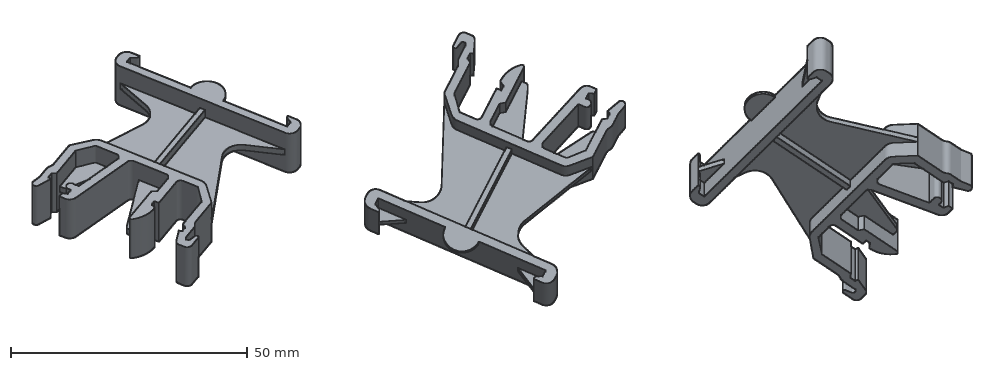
import cadquery as cq
import math


length = 46.6
width = 44.3
height = 11.5
wall = 2.0
web_thickness = 1.65
inner_fillet = 1.0

tab_radius = 3.95
tab_thickness = 0.8
bar_top = length - tab_radius
bar_thickness = 1.9
bar_bottom = bar_top - bar_thickness
hook_top = 45.55
hook_outer_x = width / 2
hook_corner_radius = 2.0
hook_inner_x = 19.6
hook_tip_x = 18.15
hook_tip_depth = 0.6
hook_lip_depth = 1.4
hook_lip_radius = 0.7
gusset_x = 13.05

bridge_top = 19.2
bridge_bottom = bridge_top - wall
leg_outer_x = 17.45
leg_inner_x = leg_outer_x - wall
shoulder_y = 14.55
shoulder_x = 13.2
inner_shoulder_y = 13.8
inner_shoulder_x = 12.55
shoulder_radius = 2.4
inner_shoulder_radius = shoulder_radius - wall

waist_x = 8.0
waist_y = 36.1
waist_radius = 4.1
web_bar_x = 20.2
rib_width = 1.25
rib_height = 6.0

jog_x = 18.05
jog_top = 7.4
jog_bottom = 6.5
jog_radius = 1.8
notch_x = 16.35
notch_mouth_top = 5.82
notch_top = 5.2
notch_bottom = 3.9
barb_x = 15.65
barb_y = 3.7

left_tip_x = 18.75
left_tip_y = 0.15
left_tip_inner_x = 17.1
left_tip_radius = 0.85
left_flare_y = 3.15

right_toe_x = 20.35
right_toe_top = 4.25
right_toe_radius = 1.25
right_heel_x = 17.05
right_heel_radius = 1.0
groove_top_x = 19.53
groove_bottom_x = 19.05
groove_bottom = 2.15
groove_radius = 0.45
toe_end_radius = 0.33

lean_slope = math.tan(math.radians(14.8))
lean_left_root = -6.15
lean_right_root = -4.0
lean_bead_x = -11.85
lean_bead_top = 4.8
lean_bead_bottom = 2.95
lean_bead_radius = 0.9
lean_notch_x = -10.3
lean_notch_bottom = 1.65
lean_toe_x = -11.4
lean_toe_top = 1.15
lean_heel_radius = 1.85

finger_left = 5.75
finger_right = 7.85
finger_step_x = 4.65
finger_step_top = 11.85
finger_step_bottom = 11.05
finger_notch_x = 6.7
finger_notch_top = 8.85
finger_notch_bottom = 7.75
finger_barb_y = 7.15
finger_belly_y = 4.1
finger_belly_radius = 7.0
finger_tip_radius = 0.45

leg_web_bottom = 7.1
leg_web_corner_x = -13.95
leg_web_top_x = -8.25
leg_web_radius = 1.0
finger_web_bottom = 3.1
finger_web_corner_x = 3.1
finger_web_top_x = -1.95
finger_web_radius = 0.85


def point_towards(start, end, distance):
    """Point on the line from start to end, at the given distance from start."""
    span = math.dist(start, end)
    return tuple(a + (b - a) * distance / span for a, b in zip(start, end))


def rounded_plate(corners, thickness):
    """Plate centred on Z = 0; a corner (x, y, r) is rounded with radius r."""
    path = None
    for i, corner in enumerate(corners):
        here = corner[:2]
        before = corners[i - 1][:2]
        after = corners[(i + 1) % len(corners)][:2]
        arrive, leave = here, here
        if len(corner) == 3:
            radius = corner[2]
            bearing_in = math.atan2(before[1] - here[1], before[0] - here[0])
            bearing_out = math.atan2(after[1] - here[1], after[0] - here[0])
            half_angle = math.acos(math.cos(bearing_out - bearing_in)) / 2
            trim = radius / math.tan(half_angle)
            arrive = point_towards(here, before, trim)
            leave = point_towards(here, after, trim)
            chord_middle = tuple((a + b) / 2 for a, b in zip(arrive, leave))
            arc_depth = radius / math.sin(half_angle) - radius
            arc_middle = point_towards(here, chord_middle, arc_depth)
        path = path.lineTo(*arrive) if path else cq.Workplane("XY").moveTo(*arrive)
        if len(corner) == 3:
            path = path.threePointArc(arc_middle, leave)
    return path.close().extrude(thickness / 2, both=True)


def mirrored(corners):
    """The same corners reflected in the YZ plane, in reverse order."""
    return [(-corner[0],) + corner[1:] for corner in reversed(corners)]


def lean_x(root_x, y):
    """X on a face of the leaning finger that meets the bridge at root_x."""
    return root_x - (bridge_bottom - y) * lean_slope


def crossbar():
    right_hook = [
        (hook_outer_x, bar_bottom, hook_corner_radius),
        (hook_outer_x, hook_top, hook_corner_radius),
        (hook_tip_x, hook_top),
        (hook_tip_x, hook_top - hook_tip_depth, hook_lip_radius),
        (hook_inner_x, hook_top - hook_lip_depth),
        (hook_inner_x, bar_top),
    ]
    return rounded_plate(right_hook + mirrored(right_hook), height)


def hook_gusset():
    corners = [
        (gusset_x, bar_top),
        (hook_inner_x, bar_top - bar_thickness / 2),
        (hook_outer_x - hook_corner_radius, hook_top),
        (hook_tip_x, hook_top),
    ]
    return rounded_plate(corners, web_thickness)


def thumb_tab():
    return (
        cq.Workplane("XY", origin=(0, bar_top, height / 2 - tab_thickness))
        .moveTo(-tab_radius, 0)
        .threePointArc((0, tab_radius), (tab_radius, 0))
        .lineTo(tab_radius, -bar_thickness / 2)
        .lineTo(-tab_radius, -bar_thickness / 2)
        .close()
        .extrude(tab_thickness)
    )


def main_web():
    right_edge = [
        (inner_shoulder_x, bridge_bottom),
        (leg_outer_x, shoulder_y),
        (waist_x, waist_y, waist_radius),
        (web_bar_x, bar_bottom),
    ]
    return rounded_plate(right_edge + mirrored(right_edge), web_thickness)


def centre_rib():
    rib_length = bar_bottom - bridge_bottom
    rib_middle = (bar_bottom + bridge_bottom) / 2
    return cq.Workplane("XY").box(rib_width, rib_length, rib_height).translate((0, rib_middle, 0))


def clip_frame():
    outer_face = [
        (shoulder_x, bridge_top, shoulder_radius),
        (leg_outer_x, shoulder_y),
        (leg_outer_x, jog_top, jog_radius),
        (jog_x, jog_bottom, jog_radius),
    ]
    inner_face = [
        (barb_x, barb_y),
        (notch_x, notch_bottom),
        (notch_x, notch_top),
        (leg_inner_x, notch_mouth_top),
        (leg_inner_x, inner_shoulder_y),
        (inner_shoulder_x, bridge_bottom, inner_shoulder_radius),
    ]
    right_tip = [
        (jog_x, groove_bottom, groove_radius),
        (groove_bottom_x, groove_bottom, groove_radius),
        (groove_top_x, right_toe_top, toe_end_radius),
        (right_toe_x, right_toe_top, toe_end_radius),
        (right_toe_x, 0, right_toe_radius),
        (right_heel_x, 0, right_heel_radius),
    ]
    left_tip = [
        (-left_tip_inner_x, left_tip_y, left_tip_radius),
        (-left_tip_x, left_tip_y, left_tip_radius),
        (-jog_x, left_flare_y),
    ]
    right_leg = outer_face + right_tip + inner_face
    left_leg = mirrored(inner_face) + left_tip + mirrored(outer_face)
    return rounded_plate(right_leg + left_leg, height)


def leaning_finger():
    root_y = bridge_bottom + wall / 2
    left_root_angle = math.radians(90) - math.atan(lean_slope)
    right_root_angle = math.pi - left_root_angle
    left_run = 2 * inner_fillet / math.tan(left_root_angle / 2)
    right_run = 2 * inner_fillet / math.tan(right_root_angle / 2)
    corners = [
        (lean_left_root - left_run, root_y),
        (lean_left_root - left_run, bridge_bottom),
        (lean_left_root, bridge_bottom, inner_fillet),
        (lean_x(lean_left_root, lean_bead_top), lean_bead_top),
        (lean_bead_x, lean_bead_top, lean_bead_radius),
        (lean_bead_x, lean_bead_bottom, lean_bead_radius),
        (lean_notch_x, lean_bead_bottom),
        (lean_notch_x, lean_notch_bottom),
        (lean_toe_x, lean_toe_top),
        (lean_toe_x, 0),
        (lean_x(lean_right_root, 0), 0, lean_heel_radius),
        (lean_right_root, bridge_bottom, inner_fillet),
        (lean_right_root + right_run, bridge_bottom),
        (lean_right_root + right_run, root_y),
    ]
    return rounded_plate(corners, height)


def straight_finger():
    root_y = bridge_bottom + wall / 2
    root_run = 2 * inner_fillet
    tip_y = finger_belly_y - (finger_right - finger_step_x)
    corners = [
        (finger_left - root_run, root_y),
        (finger_left - root_run, bridge_bottom),
        (finger_left, bridge_bottom, inner_fillet),
        (finger_left, finger_step_top),
        (finger_step_x, finger_step_bottom),
        (finger_step_x, tip_y, finger_tip_radius),
        (finger_right, finger_belly_y, finger_belly_radius),
        (finger_right, finger_barb_y),
        (finger_notch_x, finger_notch_bottom),
        (finger_notch_x, finger_notch_top),
        (finger_right, finger_notch_top),
        (finger_right, bridge_bottom, inner_fillet),
        (finger_right + root_run, bridge_bottom),
        (finger_right + root_run, root_y),
    ]
    return rounded_plate(corners, height)


def leg_web():
    embed_x = -(leg_inner_x + leg_outer_x) / 2
    corners = [
        (embed_x, leg_web_bottom),
        (leg_web_corner_x, leg_web_bottom, leg_web_radius),
        (leg_web_top_x, bridge_bottom),
        (-inner_shoulder_x, bridge_bottom),
        (embed_x, inner_shoulder_y),
    ]
    return rounded_plate(corners, web_thickness)


def finger_web():
    embed_x = (finger_left + finger_right) / 2
    corners = [
        (finger_web_top_x, bridge_bottom),
        (finger_web_corner_x, finger_web_bottom, finger_web_radius),
        (finger_step_x, finger_web_bottom),
        (finger_step_x, finger_step_bottom),
        (embed_x, finger_step_top),
        (embed_x, bridge_bottom),
    ]
    return rounded_plate(corners, web_thickness)


right_gusset = hook_gusset()
features = [
    right_gusset,
    right_gusset.mirror("YZ"),
    thumb_tab(),
    main_web(),
    centre_rib(),
    clip_frame(),
    leaning_finger(),
    straight_finger(),
    leg_web(),
    finger_web(),
]
result = crossbar()
for feature in features:
    result = result.union(feature)